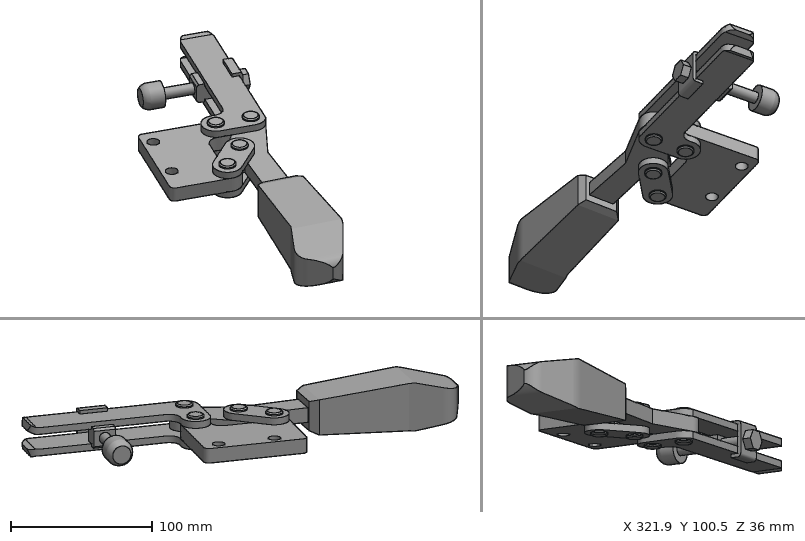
import cadquery as cq
import math


core_thickness = 11.0
plate_thickness = 5.0
core_half = core_thickness / 2
stack_half = core_half + plate_thickness

arm_lever_pivot = (119.7, 81.5)
arm_base_pivot = (119.7, 55.5)
link_lever_pivot = (154.0, 61.8)
link_base_pivot = (175.0, 45.7)
boss_radius = 10.5
pin_radius = 6.0
pin_head_height = 2.0
pin_head_chamfer = 1.0

base_left = arm_base_pivot[0] - boss_radius
base_right = link_base_pivot[0] + boss_radius
base_shoulder = 44.7
base_corner_radius = 4.0
post_fillet = 7.7
mounting_hole_diameter = 9.0
mounting_hole_xs = (121.7, 163.2)
mounting_hole_y = 8.0

arm_top = 91.5
arm_width = 25.0
arm_bottom = arm_top - arm_width
arm_right = arm_base_pivot[0] + boss_radius
arm_throat_radius = 7.7
arm_tip_radius = 8.0
tip_bend_x = 4.2
tip_bend_angle = 18

lever_elbow = (160.3, 80.8)
shaft_width = 20.0
shaft_tilt = 2.2
lever_edge_offset = 9.5

grip_origin = (205.7, 74.0)
grip_collar = 5.8
grip_front_half_width = 13.0
grip_front_half_height = 11.0
grip_collar_top = 16.0
grip_collar_bottom = -18.0
grip_collar_half_height = 13.2
grip_widest = 77.3
grip_widest_half_height = 18.0
grip_waist = (73.5, -18.7)
grip_crown_start = (73.5, 18.7)
grip_crown_end = (82.0, 17.7)
grip_nose_start = (109.0, 7.5)
grip_nose_end = (116.2, -3.0)
grip_heel_start = (109.0, -19.0)
grip_heel_end = (97.0, -24.8)
grip_end_taper = (108.8, 11.3)
grip_end_tip = (116.5, 4.0)
grip_stock = 32.2

spindle_x = 53.8
thread_radius = 4.2
head_flats = 13.5
head_height = 6.5
saddle_length = 20.5
saddle_thickness = 2.5
saddle_leg_depth = 5.5
nut_length = 16.0
nut_half_height = 7.5
nut_head_depth = 6.0
nut_stem_depth = 6.8
nut_chamfer = 1.5
foot_radius = 9.5
foot_end_radius = 6.8
foot_top = 36.7
foot_edge = 26.0
foot_bottom = 21.0
foot_round = (8.7, 23.2)


def disc(center, radius, half_height):
    """Round disc centred on the middle plane."""
    return cq.Workplane("XY").center(*center).circle(radius).extrude(half_height, both=True)


def pin(center):
    """Riveted pin with a chamfered head standing out on each side."""
    shank = disc(center, pin_radius, stack_half + pin_head_height)
    return shank.faces("|Z").edges().chamfer(pin_head_chamfer)


def both_sides(outline):
    """Extrude an outline into the pair of plates above and below the core."""
    upper = outline.extrude(plate_thickness).translate((0, 0, core_half))
    return upper.union(upper.mirror("XY"))


def make_base():
    """Base plate with a post for the arm, a boss for the link and two mounting holes."""
    post_x, post_y = arm_base_pivot
    post_right = post_x + boss_radius
    pivot_x, pivot_y = link_base_pivot
    plate = (
        cq.Workplane("XY")
        .moveTo(base_left, 0)
        .lineTo(base_right, 0)
        .lineTo(base_right, pivot_y)
        .lineTo(pivot_x, base_shoulder)
        .lineTo(post_right, base_shoulder)
        .lineTo(post_right, post_y)
        .threePointArc((post_x, post_y + boss_radius), (base_left, post_y))
        .close()
        .extrude(core_half, both=True)
    )
    plate = plate.edges("|Z and <Y").fillet(base_corner_radius)
    inner_corner = cq.selectors.NearestToPointSelector((post_right, base_shoulder, 0))
    plate = plate.edges(inner_corner).fillet(post_fillet)
    plate = plate.union(disc(link_base_pivot, boss_radius, core_half))
    for hole_x in mounting_hole_xs:
        plate = plate.cut(disc((hole_x, mounting_hole_y), mounting_hole_diameter / 2, core_half))
    for pivot in (arm_base_pivot, link_base_pivot):
        plate = plate.cut(disc(pivot, pin_radius, core_half))
    return plate


def arm_plate_profile():
    """Edge profile of the upper arm plate, with its end flared outward."""
    lean = math.radians(tip_bend_angle)
    flare_rise = tip_bend_x * math.tan(lean)
    end_shift = plate_thickness * math.sin(lean)
    end_rise = plate_thickness * math.cos(lean)
    return (
        cq.Workplane("XZ")
        .moveTo(arm_right, core_half)
        .lineTo(tip_bend_x, core_half)
        .lineTo(0, core_half + flare_rise)
        .lineTo(end_shift, core_half + flare_rise + end_rise)
        .lineTo(tip_bend_x + plate_thickness * math.tan(lean / 2), stack_half)
        .lineTo(arm_right, stack_half)
        .close()
    )


def make_arm():
    """Two flared arm plates joined by the pins of the lever and base pivots."""
    pivot_x, pivot_y = arm_base_pivot
    neck_left = pivot_x - boss_radius
    lever_x, lever_y = arm_lever_pivot
    shoulder = math.sqrt(0.5)
    shoulder_end = (lever_x + math.sqrt(boss_radius**2 - (arm_top - lever_y) ** 2), arm_top)
    outline = (
        cq.Workplane("XY")
        .moveTo(0, arm_bottom)
        .lineTo(neck_left - arm_throat_radius, arm_bottom)
        .radiusArc((neck_left, arm_bottom - arm_throat_radius), arm_throat_radius)
        .lineTo(neck_left, pivot_y)
        .threePointArc((pivot_x, pivot_y - boss_radius), (arm_right, pivot_y))
        .lineTo(arm_right, lever_y)
        .threePointArc((lever_x + boss_radius * shoulder, lever_y + boss_radius * shoulder), shoulder_end)
        .lineTo(0, arm_top)
        .close()
        .extrude(2 * stack_half)
        .edges("|Z and <X")
        .fillet(arm_tip_radius)
    )
    strip = arm_plate_profile().extrude(-2 * arm_top)
    upper = outline.intersect(strip)
    arm = upper.union(upper.mirror("XY"))
    return arm.union(pin(arm_lever_pivot)).union(pin(arm_base_pivot))


def make_link():
    """Two link plates joined by their pins."""
    (x1, y1), (x2, y2) = link_lever_pivot, link_base_pivot
    length = math.hypot(x2 - x1, y2 - y1)
    angle = math.degrees(math.atan2(y2 - y1, x2 - x1))
    outline = (
        cq.Workplane("XY")
        .center((x1 + x2) / 2, (y1 + y2) / 2)
        .slot2D(length + 2 * boss_radius, 2 * boss_radius, angle)
    )
    return both_sides(outline).union(pin(link_lever_pivot)).union(pin(link_base_pivot))


def make_lever():
    """Lever from the arm pivot past the link pivot, its shaft ending at the grip's front face."""
    eye_x, eye_y = arm_lever_pivot
    boss_x, boss_y = link_lever_pivot
    fall = math.atan2(eye_y + boss_radius - lever_elbow[1], lever_elbow[0] - eye_x)
    lower = math.atan2(eye_y - boss_y, boss_x - eye_x)
    tilt = math.radians(shaft_tilt)
    across = (-math.sin(tilt) * shaft_width / 2, math.cos(tilt) * shaft_width / 2)
    end_x, end_y = grip_origin
    body = (
        cq.Workplane("XY")
        .moveTo(eye_x + boss_radius * math.sin(fall), eye_y + boss_radius * math.cos(fall))
        .lineTo(*lever_elbow)
        .lineTo(end_x + across[0], end_y + across[1])
        .lineTo(end_x - across[0], end_y - across[1])
        .lineTo(boss_x, boss_y)
        .lineTo(boss_x - boss_radius * math.sin(lower), boss_y - boss_radius * math.cos(lower))
        .lineTo(eye_x - lever_edge_offset * math.sin(lower), eye_y - lever_edge_offset * math.cos(lower))
        .close()
        .extrude(core_half, both=True)
    )
    pivots = (arm_lever_pivot, link_lever_pivot)
    for pivot in pivots:
        body = body.union(disc(pivot, boss_radius, core_half))
    for pivot in pivots:
        body = body.cut(disc(pivot, pin_radius, core_half))
    return body


def make_grip():
    """Grip where its side outline and its plan outline, both extruded, overlap."""
    side = (
        cq.Workplane("XY")
        .moveTo(0, grip_front_half_width)
        .lineTo(grip_collar, grip_collar_top)
        .lineTo(*grip_crown_start)
        .tangentArcPoint(grip_crown_end, relative=False)
        .lineTo(*grip_nose_start)
        .tangentArcPoint(grip_nose_end, relative=False)
        .lineTo(*grip_heel_start)
        .tangentArcPoint(grip_heel_end, relative=False)
        .lineTo(*grip_waist)
        .lineTo(grip_collar, grip_collar_bottom)
        .lineTo(0, -grip_front_half_width)
        .close()
        .extrude(grip_stock, both=True)
    )
    plan = (
        cq.Workplane("XZ")
        .moveTo(0, grip_front_half_height)
        .lineTo(grip_collar, grip_collar_half_height)
        .lineTo(grip_widest, grip_widest_half_height)
        .lineTo(*grip_end_taper)
        .tangentArcPoint(grip_end_tip, relative=False)
        .lineTo(grip_end_tip[0], 0)
        .lineTo(0, 0)
        .close()
        .extrude(grip_stock, both=True)
    )
    half = side.intersect(plan)
    grip = half.union(half.mirror("XY"))
    return grip.rotate((0, 0, 0), (0, 0, 1), shaft_tilt).translate((*grip_origin, 0))


def make_saddle():
    """U-shaped clip over the arm's top edge, under the spindle head."""
    saddle_half = stack_half + saddle_thickness
    leg_bottom = arm_top - saddle_leg_depth
    top = arm_top + saddle_thickness
    block = (
        cq.Workplane("XY")
        .box(saddle_length, top - leg_bottom, 2 * saddle_half)
        .edges("|X and >Y")
        .fillet(saddle_thickness)
        .translate((spindle_x, (top + leg_bottom) / 2, 0))
    )
    slot = (
        cq.Workplane("XY")
        .box(saddle_length, arm_top - leg_bottom, 2 * stack_half)
        .translate((spindle_x, (arm_top + leg_bottom) / 2, 0))
    )
    hole = cq.Workplane("XZ").center(spindle_x, 0).circle(thread_radius).extrude(-2 * arm_top)
    return block.cut(slot).cut(hole)


def make_spindle():
    """Spindle with hexagonal head, rounded foot and a T-shaped nut between the arm plates."""
    head_bottom = arm_top + saddle_thickness
    rod = (
        cq.Workplane("XY")
        .moveTo(0, foot_bottom)
        .lineTo(foot_end_radius, foot_bottom)
        .threePointArc(foot_round, (foot_radius, foot_edge))
        .lineTo(foot_radius, foot_top)
        .lineTo(thread_radius, foot_top)
        .lineTo(thread_radius, head_bottom)
        .lineTo(0, head_bottom)
        .close()
        .revolve(360, (0, 0, 0), (0, 1, 0))
    )
    head = (
        cq.Workplane("XZ", origin=(0, head_bottom, 0))
        .polygon(6, head_flats / math.cos(math.pi / 6))
        .extrude(-head_height)
    )
    nut_head = (
        cq.Workplane("XY")
        .box(nut_length, nut_head_depth, 2 * nut_half_height)
        .faces("<Y")
        .edges("|X")
        .chamfer(nut_chamfer)
        .translate((0, arm_bottom - nut_head_depth / 2, 0))
    )
    nut_stem = (
        cq.Workplane("XY")
        .box(nut_length, nut_stem_depth, core_thickness)
        .translate((0, arm_bottom + nut_stem_depth / 2, 0))
    )
    return rod.union(head).union(nut_head).union(nut_stem).translate((spindle_x, 0, 0))


base = make_base()
arm = make_arm()
link = make_link()
lever = make_lever()
grip = make_grip()
saddle = make_saddle()
spindle = make_spindle()

result = cq.Compound.makeCompound([
    base.val(),
    arm.val(),
    link.val(),
    lever.val(),
    grip.val(),
    saddle.val(),
    spindle.val(),
])